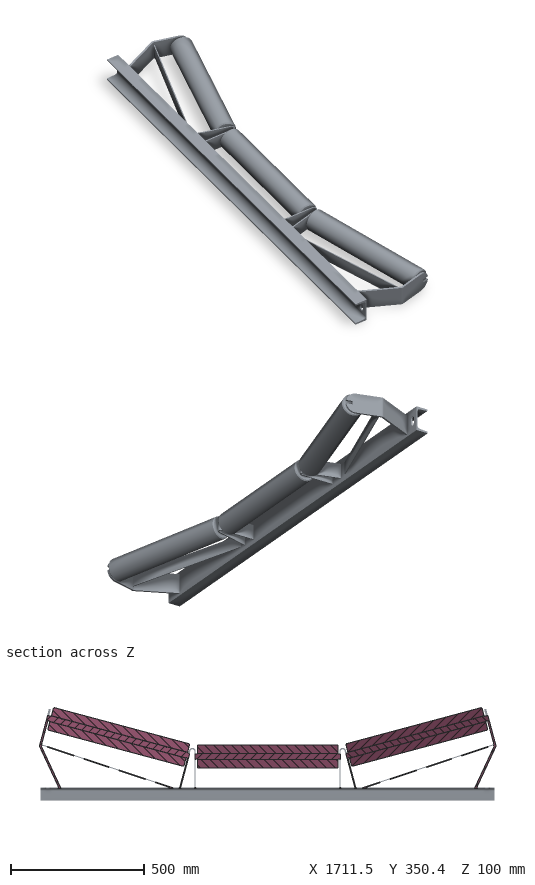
import cadquery as cq
import math


channel_length = 1700.0
channel_height = 100.0
channel_depth = 50.0
web_thickness = 5.0
flange_thickness = 8.5
flange_slope = 0.08
root_radius = 8.5
toe_radius = 3.0
mount_slot_width = 18.0
mount_slot_length = 38.0
mount_slot_inset = 28.0

roller_diameter = 89.0
roller_length = 530.0
roller_chamfer = 4.0
shaft_diameter = 20.0
shaft_flat_width = 14.0
trough_angle = 15.0
middle_axis_height = 117.0
side_center_x = 558.5
side_axis_height = 189.87

outer_width = 80.0
inner_gap = 4.0
outer_gap = 6.0
round_top_drop = 6.0
outer_thickness = 8.0
outer_half_span = 1711.51 / 2
outer_bend_radius = 13.0
outer_leg_lean = 25.0
inner_thickness = 5.0
inner_width = 60.0
inner_peak_height = 148.0
brace_thickness = 4.0
brace_width = 50.0
brace_foot_x = 361.0
brace_top_height = 160.0

along = cq.Vector(math.cos(math.radians(trough_angle)), math.sin(math.radians(trough_angle)))
square = cq.Vector(-along.y, along.x)
side_center = cq.Vector(side_center_x, side_axis_height)
inner_offset = roller_length / 2 + inner_gap
outer_offset = roller_length / 2 + outer_gap


def bar(outline, length):
    """A closed YZ outline extruded to a length centred on X = 0."""
    return outline.extrude(length).translate((-length / 2, 0, 0))


def polar(length, degrees):
    angle = math.radians(degrees)
    return cq.Vector(length * math.cos(angle), length * math.sin(angle))


def drop_to_base(start, direction):
    """Point where the line through start along direction meets Y = 0."""
    return start - direction * (start.y / direction.y)


def prism(outline, width):
    """A closed XY outline extruded to a width centred on Z = 0."""
    return outline.close().extrude(width).translate((0, 0, -width / 2))


def place_middle(shape):
    return shape.translate((0, middle_axis_height, 0))


def place_side(shape):
    return shape.rotate((0, 0, 0), (0, 0, 1), trough_angle).translate(side_center)


def mirrored(shape):
    return shape.mirror("YZ")


def make_shaft(outer_end):
    """Round bar with two flats, from the far face of one bracket plate to that of the other."""
    inner_end = inner_offset + inner_thickness
    length = inner_end + outer_end
    middle = (outer_end - inner_end) / 2
    rod = bar(cq.Workplane("YZ").circle(shaft_diameter / 2), length).translate((middle, 0, 0))
    flats = cq.Workplane("XY").box(length, shaft_diameter, shaft_flat_width).translate((middle, 0, 0))
    barrel = bar(cq.Workplane("YZ").circle(shaft_diameter / 2), roller_length)
    return rod.intersect(flats).union(barrel)


def make_shell():
    body = bar(cq.Workplane("YZ").circle(roller_diameter / 2), roller_length).edges().chamfer(roller_chamfer)
    return body.cut(bar(cq.Workplane("YZ").circle(shaft_diameter / 2), roller_length))


def make_channel():
    half = channel_height / 2
    mid_thickness_depth = channel_depth / 2
    toe = half - flange_thickness + flange_slope * mid_thickness_depth
    root = toe - flange_slope * (channel_depth - web_thickness)
    outline = [
        (0, half),
        (-channel_depth, half),
        (-channel_depth, toe),
        (-web_thickness, root),
        (-web_thickness, -root),
        (-channel_depth, -toe),
        (-channel_depth, -half),
        (0, -half),
    ]
    beam = bar(cq.Workplane("YZ").polyline(outline).close(), channel_length)
    for z in (root, -root):
        beam = beam.edges(cq.NearestToPointSelector((0, -web_thickness, z))).fillet(root_radius)
    for z in (toe, -toe):
        beam = beam.edges(cq.NearestToPointSelector((0, -channel_depth, z))).fillet(toe_radius)
    slot_x = channel_length / 2 - mount_slot_inset
    slots = (
        cq.Workplane("XZ")
        .pushPoints([(-slot_x, 0), (slot_x, 0)])
        .slot2D(mount_slot_length, mount_slot_width, 90)
        .extrude(web_thickness)
    )
    return beam.cut(slots)


def bent_strip(center, outer_radius, thickness, width, first_angle, last_angle, first_end, last_end):
    """Plate bent about center. Its flat legs touch the bend where the radius has the given angles.

    Each end is a pair of points: one on the outer face of the leg and one on the inner face.
    """
    inner_radius = outer_radius - thickness
    middle_angle = (first_angle + last_angle) / 2
    outline = (
        cq.Workplane("XY")
        .polyline([first_end[1], first_end[0], center + polar(outer_radius, first_angle)])
        .threePointArc(center + polar(outer_radius, middle_angle), center + polar(outer_radius, last_angle))
        .polyline([last_end[0], last_end[1], center + polar(inner_radius, last_angle)], includeCurrent=True)
        .threePointArc(center + polar(inner_radius, middle_angle), center + polar(inner_radius, first_angle))
    )
    return prism(outline, width)


def leg_feet(center, outer_radius, thickness, angle):
    """Outer and inner points where a leg touching the bend at this angle lands on the channel."""
    direction = polar(1, angle + 90)
    return [
        drop_to_base(center + polar(radius, angle), direction)
        for radius in (outer_radius, outer_radius - thickness)
    ]


def outer_bend_center():
    """Centre of the outer bend, placed so that the bend just reaches the half span."""
    x = outer_half_span - outer_bend_radius
    on_axis = side_center + along * (outer_offset + outer_thickness - outer_bend_radius)
    return on_axis + square * ((x - on_axis.x) / square.x)


def make_outer_bracket():
    """Plate square to the side roller, bent back to the channel, with a round top slotted for the shaft."""
    center = outer_bend_center()
    inner_top = side_center + along * outer_offset + square * (outer_width / 2 - round_top_drop)
    plate = bent_strip(
        center,
        outer_bend_radius,
        outer_thickness,
        outer_width,
        trough_angle,
        -outer_leg_lean,
        [inner_top + along * outer_thickness, inner_top],
        leg_feet(center, outer_bend_radius, outer_thickness, -outer_leg_lean),
    )
    top_plate = cq.Workplane("XY").box(
        outer_thickness, outer_width / 2, outer_width, centered=(False, False, True)
    )
    round_top = cq.Workplane("YZ").circle(outer_width / 2).extrude(outer_thickness)
    corners = top_plate.cut(round_top).translate((0, -round_top_drop, 0))
    slot = cq.Workplane("XY").box(
        outer_thickness, outer_width, shaft_flat_width, centered=(False, False, True)
    )
    waste = corners.union(slot)
    return plate.cut(place_side(waste.translate((outer_offset, 0, 0))))


def make_inner_bracket():
    """Plate folded over into an upright leg and a leaning leg, slotted from the fold for both shafts."""
    upright_angle = 180
    at_zero_radius = cq.Vector(inner_offset, inner_peak_height) - side_center
    radius = -(at_zero_radius.dot(along) + inner_offset) / (1 + along.x - along.y)
    center = cq.Vector(inner_offset + radius, inner_peak_height - radius)
    plate = bent_strip(
        center,
        radius,
        inner_thickness,
        inner_width,
        trough_angle,
        upright_angle,
        leg_feet(center, radius, inner_thickness, trough_angle),
        leg_feet(center, radius, inner_thickness, upright_angle),
    )
    slot = cq.Workplane("XY").box(
        4 * radius, inner_peak_height, shaft_flat_width, centered=(True, False, True)
    )
    return plate.cut(slot.translate((center.x, middle_axis_height, 0)))


def make_brace():
    """Flat bar sloping from the outer bend down to the channel beside the inner bracket."""
    start = cq.Vector(outer_half_span - outer_thickness, brace_top_height)
    direction = (start - cq.Vector(brace_foot_x, 0)).normalized()
    half = cq.Vector(-direction.y, direction.x) * (brace_thickness / 2)
    upper, lower = start + half, start - half
    outline = [upper, lower, drop_to_base(lower, direction), drop_to_base(upper, direction)]
    return prism(cq.Workplane("XY").polyline(outline), brace_width)


middle_shaft = place_middle(make_shaft(inner_offset + inner_thickness))
side_shaft = place_side(make_shaft(outer_offset + outer_thickness))
shafts = [middle_shaft, side_shaft, mirrored(side_shaft)]

shell = make_shell()
side_shell = place_side(shell)
shells = [place_middle(shell), side_shell, mirrored(side_shell)]

support = make_outer_bracket().union(make_inner_bracket()).union(make_brace())
frame = make_channel().union(support).union(mirrored(support))
for shaft in shafts:
    frame = frame.cut(shaft)

bodies = [frame, *shells, *shafts]
result = cq.Compound.makeCompound([solid for body in bodies for solid in body.solids().vals()])